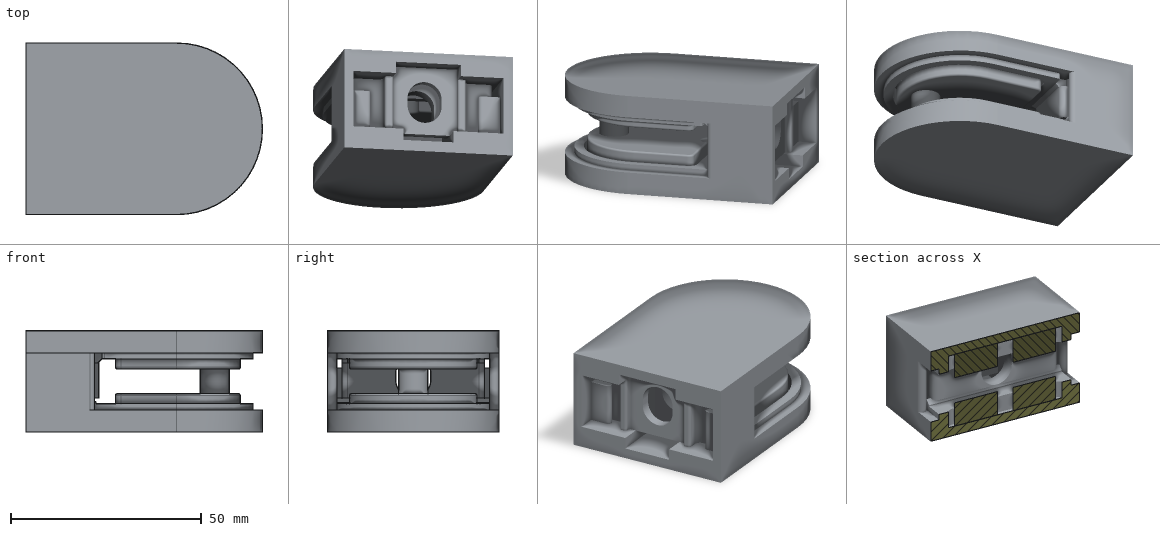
import cadquery as cq

LENGTH = 62.0
WIDTH = 45.0
HEIGHT = 26.6
NOSE_RADIUS = WIDTH / 2
NOSE_CENTER_X = LENGTH - NOSE_RADIUS

PLATE_THICKNESS = 5.8
LIP_HEIGHT = 1.6
LIP_RADIUS = 20.0
COVER_BOTTOM = HEIGHT - PLATE_THICKNESS
LIP_TOP = PLATE_THICKNESS + LIP_HEIGHT
RECESS_FLOOR = 2.8
COVER_LIP_START = 19.9
COVER_LIP_CORNER_RADIUS = 0.6

SIDE_WALL_LENGTH = 18.0
CAVITY_HALF_WIDTH = LIP_RADIUS
STOP_START = 4.9
STOP_INNER_Y = 14.45
STOP_TOP = 16.8
STOP_THICKNESS = 2.0

BASE_CHANNEL_HALF_WIDTH = 6.7
COVER_CHANNEL_HALF_WIDTH = 8.7

PAD_START = 23.45
PAD_RADIUS = 16.7
PAD_GAP = 6.45
PAD_TOP = (HEIGHT - PAD_GAP) / 2
PAD_CORNER_RADIUS = 1.5
PAD_EDGE_RADIUS = 0.5
PAD_NOTCH_RADIUS = 2.1
PAD_NOTCH_EDGE_RADIUS = 0.2
POCKET_CLEARANCE = 0.85

PIN_DIAMETER = 7.7
PIN_X = 49.5

BAR_FRONT = 7.8
BAR_BACK = 17.0
BAR_HALF_WIDTH = 18.7
BAR_CORNER_RADIUS = 1.5
BLOCK_FRONT = 5.35
BLOCK_HALF_WIDTH = 10.8
RIB_FRONT = 3.7
RIB_FLANK_Y = COVER_CHANNEL_HALF_WIDTH
RIB_INNER_RADIUS = 0.6
RIB_OUTER_RADIUS = 0.75
BLOCK_ROOT_RADIUS = 1.5

BAND_BOTTOM = 8.9
BAND_TOP = 18.15
BAND_BACK = 19.1
UPPER_FOOT_BACK = COVER_LIP_START
FOOT_HALF_WIDTH = BAR_HALF_WIDTH - BAR_CORNER_RADIUS

LEDGE_BACK = 18.4
LEDGE_EDGE_TOP = 7.75

HOLE_WIDTH = 9.1
HOLE_BOTTOM = 9.05
HOLE_TOP = 20.0
CHAMBER_FRONT = 8.05
CHAMBER_BACK = 15.25


def block(x_start, x_end, y_start, y_end, z_start, z_end):
    """Box given by its limits along the three axes."""
    size = (x_end - x_start, y_end - y_start, z_end - z_start)
    return cq.Workplane("XY").box(*size, centered=False).translate((x_start, y_start, z_start))


def d_plate(x_start, radius, z_start, z_end):
    """Plate with a straight end at x_start and a half-round nose concentric with the clamp."""
    return (
        cq.Workplane("XY", origin=(0, 0, z_start))
        .moveTo(x_start, -radius)
        .lineTo(NOSE_CENTER_X, -radius)
        .threePointArc((NOSE_CENTER_X + radius, 0), (NOSE_CENTER_X, radius))
        .lineTo(x_start, radius)
        .close()
        .extrude(z_end - z_start)
    )


def xz_prism(half_width, points):
    """Prism centered on Y = 0, from its outline in the XZ plane."""
    return cq.Workplane("XZ").polyline(points).close().extrude(half_width, both=True)


def flip(body):
    """Mirror a body about the mid-height plane of the clamp."""
    return body.mirror("XY", (0, 0, HEIGHT / 2))


def make_pocket():
    """Volume of the pad pocket in the base plate."""
    pocket = d_plate(
        PAD_START - POCKET_CLEARANCE, PAD_RADIUS + POCKET_CLEARANCE, RECESS_FLOOR, LIP_TOP
    )
    return pocket.edges("|Z and <X").fillet(PAD_CORNER_RADIUS + POCKET_CLEARANCE)


def round_ended_wall(length, thickness, height):
    """Wall along +X from the origin, centered on Y = 0, with a full round at its far end."""
    return (
        cq.Workplane("XY")
        .moveTo(0, -thickness / 2)
        .lineTo(length - thickness / 2, -thickness / 2)
        .threePointArc((length, 0), (length - thickness / 2, thickness / 2))
        .lineTo(0, thickness / 2)
        .close()
        .extrude(height)
    )


def make_side_wall():
    """Side wall at -Y with its stop block; both have fully rounded free ends."""
    wall_thickness = WIDTH / 2 - CAVITY_HALF_WIDTH
    wall = round_ended_wall(SIDE_WALL_LENGTH, wall_thickness, COVER_BOTTOM - PLATE_THICKNESS)
    wall = wall.translate((0, -CAVITY_HALF_WIDTH - wall_thickness / 2, PLATE_THICKNESS))
    stop = round_ended_wall(
        CAVITY_HALF_WIDTH - STOP_INNER_Y, STOP_THICKNESS, STOP_TOP - PLATE_THICKNESS
    )
    stop = stop.rotate((0, 0, 0), (0, 0, 1), 90)
    stop = stop.translate((STOP_START + STOP_THICKNESS / 2, -CAVITY_HALF_WIDTH, PLATE_THICKNESS))
    return wall.union(stop)


def make_ledge():
    """Step on the base lip that carries the insert's band, with a 45 degree slope towards the pad."""
    slope_start = LEDGE_BACK - (BAND_BOTTOM - LEDGE_EDGE_TOP)
    return xz_prism(LIP_RADIUS, [
        (BAR_BACK, LIP_TOP),
        (LEDGE_BACK, LIP_TOP),
        (LEDGE_BACK, LEDGE_EDGE_TOP),
        (slope_start, BAND_BOTTOM),
        (BAR_BACK, BAND_BOTTOM),
    ])


def make_base():
    """Bottom plate with lip, ledge, side walls, stop blocks, pad pocket and channel."""
    wall = make_side_wall()
    channel = block(
        0, BAR_BACK, -BASE_CHANNEL_HALF_WIDTH, BASE_CHANNEL_HALF_WIDTH, RECESS_FLOOR, PLATE_THICKNESS
    )
    return (
        d_plate(0, NOSE_RADIUS, 0, PLATE_THICKNESS)
        .union(d_plate(BAR_BACK, LIP_RADIUS, PLATE_THICKNESS, LIP_TOP))
        .union(make_ledge())
        .union(wall)
        .union(wall.mirror("XZ"))
        .cut(make_pocket())
        .cut(channel)
    )


def make_cover():
    """Top plate with lip, pad pocket and the channel for the tongue of the insert."""
    lip = d_plate(COVER_LIP_START, LIP_RADIUS, HEIGHT - LIP_TOP, COVER_BOTTOM)
    lip = lip.edges("|Z and <X").fillet(COVER_LIP_CORNER_RADIUS)
    channel = block(
        0,
        BAR_BACK,
        -COVER_CHANNEL_HALF_WIDTH,
        COVER_CHANNEL_HALF_WIDTH,
        COVER_BOTTOM,
        HEIGHT - RECESS_FLOOR,
    )
    return (
        d_plate(0, NOSE_RADIUS, COVER_BOTTOM, HEIGHT)
        .union(lip)
        .cut(flip(make_pocket()))
        .cut(channel)
    )


def make_pin():
    """Upright pin between the pocket floors of the base and the cover."""
    return (
        cq.Workplane("XY", origin=(PIN_X, 0, RECESS_FLOOR))
        .circle(PIN_DIAMETER / 2)
        .extrude(HEIGHT - 2 * RECESS_FLOOR)
    )


def make_lower_pad():
    """Pad in the base pocket, notched at its straight end and bored for the pin."""
    notch = (
        cq.Workplane("XY", origin=(PAD_START, 0, RECESS_FLOOR))
        .circle(PAD_NOTCH_RADIUS)
        .extrude(PAD_TOP - RECESS_FLOOR)
    )
    return (
        d_plate(PAD_START, PAD_RADIUS, RECESS_FLOOR, PAD_TOP)
        .edges("|Z and <X")
        .fillet(PAD_CORNER_RADIUS)
        .cut(notch)
        .edges("|Z and <X")
        .fillet(PAD_NOTCH_EDGE_RADIUS)
        .faces(">Z")
        .edges()
        .fillet(PAD_EDGE_RADIUS)
        .cut(make_pin())
    )


def make_insert_core():
    """Cross bar, central block and ribs; only the central tongue rises into the cover."""
    rib_flat_start = RIB_FLANK_Y + RIB_INNER_RADIUS
    core = (
        cq.Workplane("XY", origin=(0, 0, PLATE_THICKNESS))
        .moveTo(BLOCK_FRONT, 0)
        .lineTo(BLOCK_FRONT, RIB_FLANK_Y - RIB_INNER_RADIUS)
        .tangentArcPoint((BLOCK_FRONT - RIB_INNER_RADIUS, RIB_FLANK_Y), relative=False)
        .lineTo(RIB_FRONT + RIB_INNER_RADIUS, RIB_FLANK_Y)
        .tangentArcPoint((RIB_FRONT, rib_flat_start), relative=False)
        .lineTo(RIB_FRONT, BLOCK_HALF_WIDTH - RIB_OUTER_RADIUS)
        .tangentArcPoint((RIB_FRONT + RIB_OUTER_RADIUS, BLOCK_HALF_WIDTH), relative=False)
        .lineTo(BAR_FRONT - BLOCK_ROOT_RADIUS, BLOCK_HALF_WIDTH)
        .tangentArcPoint((BAR_FRONT, BLOCK_HALF_WIDTH + BLOCK_ROOT_RADIUS), relative=False)
        .lineTo(BAR_FRONT, BAR_HALF_WIDTH - BAR_CORNER_RADIUS)
        .tangentArcPoint((BAR_FRONT + BAR_CORNER_RADIUS, BAR_HALF_WIDTH), relative=False)
        .lineTo(BAR_BACK - BAR_CORNER_RADIUS, BAR_HALF_WIDTH)
        .tangentArcPoint((BAR_BACK, BAR_HALF_WIDTH - BAR_CORNER_RADIUS), relative=False)
        .lineTo(BAR_BACK, 0)
        .mirrorX()
        .extrude(HEIGHT - RECESS_FLOOR - PLATE_THICKNESS)
    )
    above_bar = block(
        0, BAR_BACK, COVER_CHANNEL_HALF_WIDTH, BAR_HALF_WIDTH, COVER_BOTTOM, HEIGHT - RECESS_FLOOR
    )
    return core.cut(above_bar).cut(above_bar.mirror("XZ"))


def make_insert():
    """Insert with its rear band and foot, its hollow chamber and the bolt hole."""
    band = block(
        BAR_FRONT + BAR_CORNER_RADIUS, BAND_BACK, -BAR_HALF_WIDTH, BAR_HALF_WIDTH, BAND_BOTTOM, BAND_TOP
    )
    band = band.edges("|Z and >X").fillet(BAR_CORNER_RADIUS)

    cover_lip_bottom = HEIGHT - LIP_TOP
    upper_foot = xz_prism(FOOT_HALF_WIDTH, [
        (BAR_BACK, BAND_TOP),
        (UPPER_FOOT_BACK - (cover_lip_bottom - BAND_TOP), BAND_TOP),
        (UPPER_FOOT_BACK, cover_lip_bottom),
        (UPPER_FOOT_BACK, COVER_BOTTOM),
        (BAR_BACK, COVER_BOTTOM),
    ])

    chamber = block(
        CHAMBER_FRONT, CHAMBER_BACK, -BASE_CHANNEL_HALF_WIDTH, BASE_CHANNEL_HALF_WIDTH, 0, HEIGHT
    )
    bolt_hole = (
        cq.Workplane("YZ", origin=(0, 0, (HOLE_BOTTOM + HOLE_TOP) / 2))
        .slot2D(HOLE_TOP - HOLE_BOTTOM, HOLE_WIDTH, 90)
        .extrude(LENGTH)
    )
    return make_insert_core().union(band).union(upper_foot).cut(chamber).cut(bolt_hole)


base = make_base()
cover = make_cover()
insert = make_insert()
pin = make_pin()
lower_pad = make_lower_pad()
pads = [lower_pad, flip(lower_pad)]

result = cq.Compound.makeCompound([
    base.val(),
    cover.val(),
    insert.val(),
    pin.val(),
    *[pad.val() for pad in pads],
])